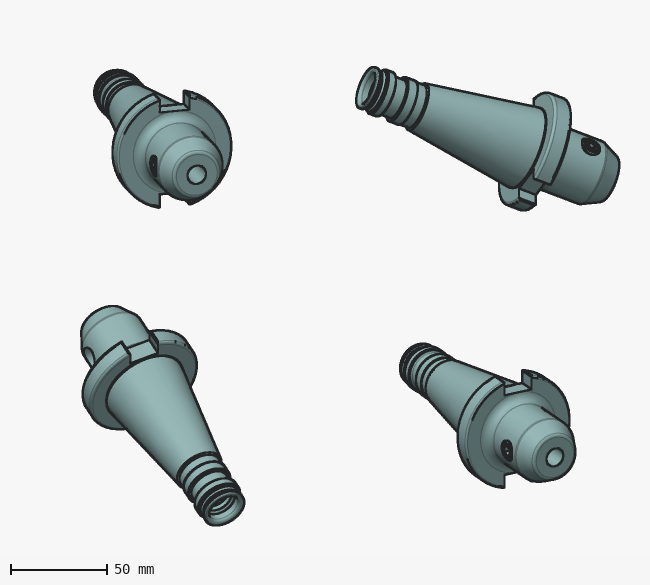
import cadquery as cq
import math


TOLERANCE = 0.001

length = 143.4

rim_radius = 11.5
rim_edge_fillet = 0.5
rim_shoulder_x = 5.7
rim_root_radius = 11.0
v_groove_start = 1.9
v_groove_floor_start = 3.2
v_groove_floor_end = 4.0
v_groove_radius = 10.6
collar_radius = 12.3
collar_chamfer = 0.5
front_collar_start = 6.5
front_collar_end = 11.3
neck_radius = 10.6
neck_fillet = 0.6
rear_collar_start = 18.0
rear_collar_end = 24.0
pilot_radius = 11.9
pilot_end = 29.4

taper_start = 30.1
gauge_x = 93.4
gauge_radius = 22.2
taper_end = 94.0
undercut_radius = 22.1
taper_slope = 7 / 24 / 2
taper_end_radius = gauge_radius + (taper_end - gauge_x) * taper_slope
taper_start_radius = gauge_radius - (gauge_x - taper_start) * taper_slope

flange_start = 94.6
flange_width = 10.0
flange_end = flange_start + flange_width
flange_radius = 31.3
flange_tail_fillet = 1.5
flange_nose_fillet = 1.0
slot_width = 16.0
slot_floor = 22.5
slot_edge_chamfer = 0.7

nose_radius = 17.5
nose_root_fillet = 5.0
nose_cone_start = 132.6
nose_cone_angle = 25.0
nose_fillet = 2.0
nose_end_radius = nose_radius - (length - nose_cone_start) * math.tan(math.radians(nose_cone_angle))

bore_radius = 5.0
thread_radius = 7.0
thread_end = 10.3
drill_half_angle = 59.0
counterbore_radius = 8.5
counterbore_depth = 5.7
counterbore_cone_end = 7.2
mouth_fillet = 2.0
drill_cone_length = (thread_radius - bore_radius) / math.tan(math.radians(drill_half_angle))

screw_x = 123.5
screw_radius = 5.0
screw_hole_chamfer = 0.5
screw_end_chamfer = 1.1
screw_outer_y = -17.4
screw_inner_y = -bore_radius
hex_across_flats = 5.0
hex_depth = 2.9
recess_radius = 6.6
recess_floor = 10.0


def revolve_about_x(points):
    return cq.Workplane("XZ").polyline(points).close().revolve(360, (0, 0, 0), (1, 0, 0))


def circle_edges(body, x, radius):
    """Edges around the X axis at one station and radius."""
    def matches(edge):
        on_station = abs(edge.arcCenter().x - x) < TOLERANCE
        return on_station and abs(edge.radius() - radius) < TOLERANCE
    return body.edges("%CIRCLE").filter(matches)


def make_turned_blank():
    blank = revolve_about_x([
        (0, 0),
        (0, rim_radius),
        (v_groove_start, rim_radius),
        (v_groove_floor_start, v_groove_radius),
        (v_groove_floor_end, v_groove_radius),
        (rim_shoulder_x, rim_radius),
        (front_collar_start, rim_root_radius),
        (front_collar_start, collar_radius),
        (front_collar_end, collar_radius),
        (front_collar_end, neck_radius),
        (rear_collar_start, neck_radius),
        (rear_collar_start, collar_radius),
        (rear_collar_end, collar_radius),
        (rear_collar_end, pilot_radius),
        (pilot_end, pilot_radius),
        (taper_start, taper_start_radius),
        (taper_end, taper_end_radius),
        (taper_end, undercut_radius),
        (flange_start, undercut_radius),
        (flange_start, flange_radius),
        (flange_end, flange_radius),
        (flange_end, nose_radius),
        (nose_cone_start, nose_radius),
        (length, nose_end_radius),
        (length, 0),
    ])
    for x, radius, size in [
        (0, rim_radius, rim_edge_fillet),
        (front_collar_end, neck_radius, neck_fillet),
        (flange_end, nose_radius, nose_root_fillet),
        (nose_cone_start, nose_radius, nose_fillet),
        (length, nose_end_radius, nose_fillet),
    ]:
        blank = circle_edges(blank, x, radius).fillet(size)
    for x in (front_collar_start, front_collar_end, rear_collar_start):
        blank = circle_edges(blank, x, collar_radius).chamfer(collar_chamfer)
    return blank


def cut_axial_bore(body):
    bore = revolve_about_x([
        (0, 0),
        (0, counterbore_radius),
        (counterbore_depth, counterbore_radius),
        (counterbore_cone_end, thread_radius),
        (thread_end, thread_radius),
        (thread_end + drill_cone_length, bore_radius),
        (length, bore_radius),
        (length, 0),
    ])
    body = body.cut(bore)
    return circle_edges(body, 0, counterbore_radius).fillet(mouth_fillet)


def cut_drive_slots(body):
    slot_depth = flange_radius - slot_floor
    for side in (1, -1):
        slot = (
            cq.Workplane("XY")
            .box(flange_width, slot_width, slot_depth, centered=(False, True, False))
            .translate((flange_start, 0, slot_floor))
        )
        if side < 0:
            slot = slot.mirror("XY")
        body = body.cut(slot)

    rim_height = math.sqrt(flange_radius**2 - (slot_width / 2) ** 2)

    def is_slot_edge(edge):
        center = edge.Center()
        at_wall = abs(abs(center.y) - slot_width / 2) < TOLERANCE
        return at_wall and abs(abs(center.z) - rim_height) < TOLERANCE

    return body.edges("|X").filter(is_slot_edge).chamfer(slot_edge_chamfer)


def round_flange_rim(body):
    body = circle_edges(body, flange_start, flange_radius).fillet(flange_tail_fillet)
    return circle_edges(body, flange_end, flange_radius).fillet(flange_nose_fillet)


def radial_cylinder(radius, y_start, y_end):
    """Cylinder along Y at the screw station, running from y_start to y_end (y_start < y_end)."""
    return (
        cq.Workplane("XZ", origin=(screw_x, y_start, 0))
        .circle(radius)
        .extrude(y_start - y_end)
    )


def cut_screw_hole(body):
    body = body.cut(radial_cylinder(screw_radius, -nose_radius - 1.5, 0))

    def is_hole_rim(edge):
        box = edge.BoundingBox()
        centered = abs(box.center.x - screw_x) < 0.01 and box.ymax < -nose_radius / 2
        return centered and abs(box.xlen - 2 * screw_radius) < 0.01

    return body.edges().filter(is_hole_rim).chamfer(screw_hole_chamfer)


def cut_balancing_recess(body):
    return body.cut(radial_cylinder(recess_radius, recess_floor, nose_radius + 1.5))


def make_holder():
    body = make_turned_blank()
    body = cut_drive_slots(body)
    body = round_flange_rim(body)
    body = cut_axial_bore(body)
    body = cut_screw_hole(body)
    return cut_balancing_recess(body)


def make_screw():
    screw = radial_cylinder(screw_radius, screw_outer_y, screw_inner_y)
    screw = screw.faces("<Y").chamfer(screw_end_chamfer)
    hex_socket = (
        cq.Workplane("XZ", origin=(screw_x, screw_outer_y, 0))
        .polygon(6, hex_across_flats, circumscribed=True)
        .extrude(-hex_depth)
    )
    return screw.cut(hex_socket)


holder = make_holder()
screw = make_screw()

result = cq.Compound.makeCompound([holder.val(), screw.val()])